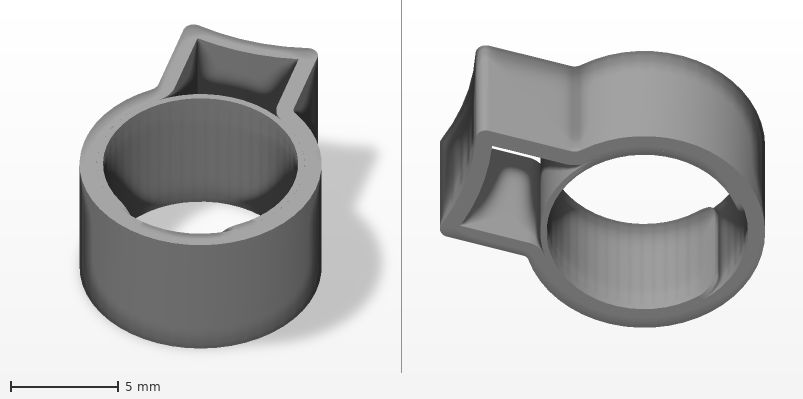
import cadquery as cq
import math

height = 6.5
wall = 0.8
sleeve_radius = 5.65
bore_radius = sleeve_radius - wall
lug_left = -3.51
lug_right = 3.02
lug_end_middle = 8.82
end_bow_radius = 10.63
lug_corner_radius = 0.49
left_junction_radius = 0.6
right_junction_radius = 0.3

liner_thickness = 0.3
liner_half_gap_angle = 26.0
liner_corner_radius = 1.0

lug_middle = (lug_left + lug_right) / 2
bow_center_y = lug_end_middle + end_bow_radius


def lug_corner_y(half_width, bow_radius):
    """Y where a lug side of the given half width meets its dished end."""
    return bow_center_y - math.sqrt(bow_radius**2 - half_width**2)


def fillet_nearest_edge(body, point, radius):
    return body.edges(cq.selectors.NearestToPointSelector(point)).fillet(radius)


def keyhole(radius, left, right, bow_radius, left_blend, right_blend):
    """Disc joined to a lug whose far end is an arc, with blended junctions."""
    corner_y = lug_corner_y((right - left) / 2, bow_radius)
    lug = (
        cq.Workplane("XY")
        .moveTo(left, 0)
        .lineTo(left, corner_y)
        .threePointArc((lug_middle, bow_center_y - bow_radius), (right, corner_y))
        .lineTo(right, 0)
        .close()
        .extrude(height)
    )
    body = cq.Workplane("XY").circle(radius).extrude(height).union(lug)
    for side, blend in ((left, left_blend), (right, right_blend)):
        junction = (side, math.sqrt(radius**2 - side**2), height / 2)
        body = fillet_nearest_edge(body, junction, blend)
    return body


def make_housing():
    outside = keyhole(
        sleeve_radius, lug_left, lug_right, end_bow_radius,
        left_junction_radius, right_junction_radius,
    )
    corner_y = lug_corner_y((lug_right - lug_left) / 2, end_bow_radius)
    for side in (lug_left, lug_right):
        corner = (side, corner_y, height / 2)
        outside = fillet_nearest_edge(outside, corner, lug_corner_radius)
    inside = keyhole(
        bore_radius, lug_left + wall, lug_right - wall, end_bow_radius + wall,
        left_junction_radius + wall, right_junction_radius + wall,
    )
    return outside.cut(inside)


def make_liner():
    inner_radius = bore_radius - liner_thickness
    band = cq.Workplane("XY").circle(bore_radius).circle(inner_radius).extrude(height)

    gap_depth = 2 * bore_radius
    gap_half_width = gap_depth * math.tan(math.radians(liner_half_gap_angle))
    gap = (
        cq.Workplane("XY")
        .polyline([(0, 0), (-gap_half_width, -gap_depth), (gap_half_width, -gap_depth)])
        .close()
        .extrude(height)
    )
    band = band.cut(gap)

    middle_radius = (inner_radius + bore_radius) / 2
    end_x = middle_radius * math.sin(math.radians(liner_half_gap_angle))
    end_y = -middle_radius * math.cos(math.radians(liner_half_gap_angle))
    for x in (-end_x, end_x):
        for z in (0, height):
            band = fillet_nearest_edge(band, (x, end_y, z), liner_corner_radius)
    return band


housing = make_housing()
liner = make_liner()
result = cq.Compound.makeCompound([housing.val(), liner.val()])